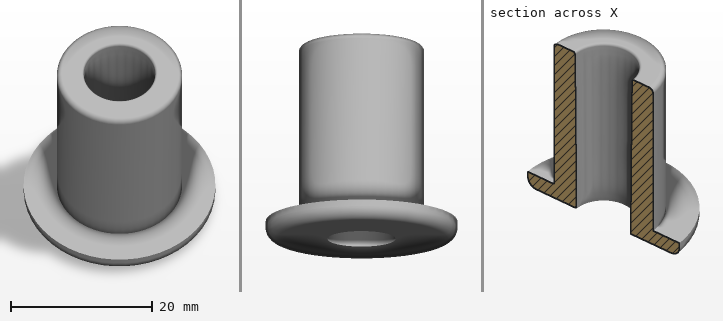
import math

import cadquery as cq

total_height = 27.94

flange_diameter = 27.18
flange_thickness = 2.54
flange_edge_radius = 1.5875

sleeve_diameter = 17.78
sleeve_edge_radius = 0.79375

bore_bottom_diameter = 9.652
bore_draft_angle = 0.5
bore_edge_radius = 0.39


def make_flange():
    """Disc with a rounded lower rim."""
    flange = cq.Workplane("XY").circle(flange_diameter / 2).extrude(flange_thickness)
    return flange.faces("<Z").edges().fillet(flange_edge_radius)


def make_sleeve():
    """Full-height cylinder with a rounded upper rim."""
    sleeve = cq.Workplane("XY").circle(sleeve_diameter / 2).extrude(total_height)
    return sleeve.faces(">Z").edges().fillet(sleeve_edge_radius)


def cut_bore(body):
    """Cut the tapered through bore and round its upper rim."""
    bottom_radius = bore_bottom_diameter / 2
    top_radius = bottom_radius + total_height * math.tan(math.radians(bore_draft_angle))
    bore = cq.Solid.makeCone(bottom_radius, top_radius, total_height)
    bored = body.cut(cq.Workplane(obj=bore))
    bore_rim = bored.faces(">Z").edges(cq.selectors.RadiusNthSelector(0))
    return bore_rim.fillet(bore_edge_radius)


result = cut_bore(make_flange().union(make_sleeve()))